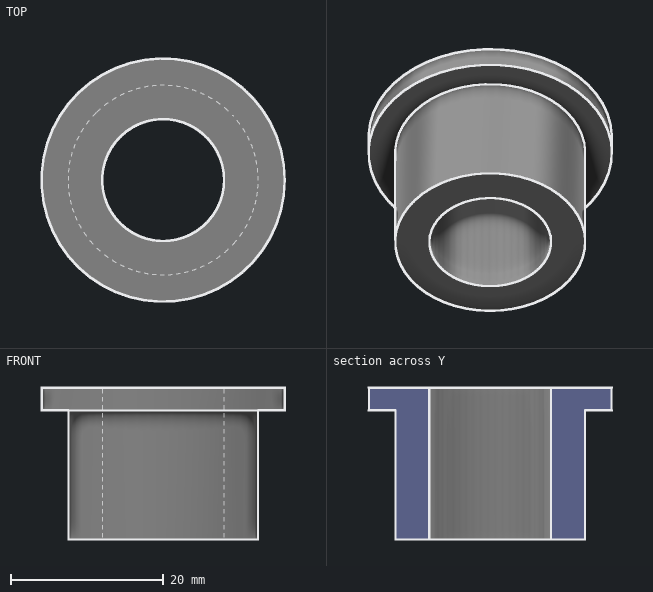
import cadquery as cq

flange_diameter = 32
sleeve_diameter = 25.0
bore_diameter = 16
total_height = 20.0
flange_thickness = 3.0
sleeve_height = total_height - flange_thickness

sleeve = cq.Workplane("XY").circle(sleeve_diameter / 2).extrude(sleeve_height)
flange = (
    cq.Workplane("XY")
    .workplane(offset=sleeve_height)
    .circle(flange_diameter / 2)
    .extrude(flange_thickness)
)

bore = cq.Workplane("XY").circle(bore_diameter / 2).extrude(total_height)

result = sleeve.union(flange).cut(bore)